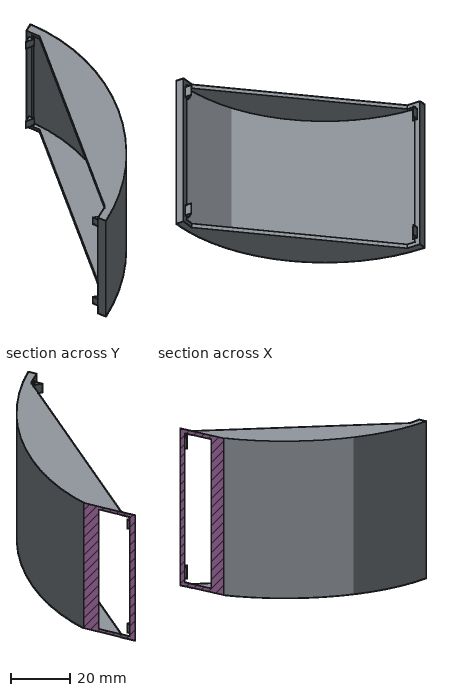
import cadquery as cq
import math

outer_radius = 60.35
height = 55.3
wall_thickness = 1.5
inner_radius = outer_radius - wall_thickness

strip_width = 2.05
strip_thickness = 3.0
strip_face = outer_radius - strip_thickness
plate_corner = 5.05

tooth_start = 1.0
tooth_width = 2.0
tooth_depth = 2.55
tooth_height = 3.85
tooth_end_gap = 2.85

diagonal = math.sqrt(0.5)


def outer_profile(inner_points):
    """Close the outer quarter arc with the given points, listed from +X to +Y."""
    middle = (outer_radius * diagonal, outer_radius * diagonal)
    profile = cq.Workplane("XY").moveTo(0, outer_radius)
    profile = profile.threePointArc(middle, (outer_radius, 0))
    for point in inner_points:
        profile = profile.lineTo(*point)
    return profile.close()


def make_body():
    """Solid segment bounded by the strip planes and the plates' chord edge."""
    return outer_profile([
        (strip_face, 0),
        (strip_face, plate_corner),
        (plate_corner, strip_face),
        (0, strip_face),
    ]).extrude(height)


def make_cavity():
    """Space between the end plates, inside the curved wall and the strips."""
    middle = (inner_radius * diagonal, inner_radius * diagonal)
    arc_end = math.sqrt(inner_radius**2 - strip_width**2)
    return (
        cq.Workplane("XY", origin=(0, 0, wall_thickness))
        .moveTo(strip_width, arc_end)
        .threePointArc(middle, (arc_end, strip_width))
        .lineTo(strip_width, strip_width)
        .close()
        .extrude(height - 2 * wall_thickness)
    )


def make_tooth(bottom):
    """Tooth on the strip facing -Y; its outer flank is square to the strip."""
    tooth_end = tooth_start + tooth_width
    return (
        cq.Workplane("XY", origin=(0, 0, bottom))
        .moveTo(tooth_start, strip_face - tooth_depth)
        .lineTo(tooth_end, strip_face)
        .lineTo(tooth_start, strip_face)
        .close()
        .extrude(tooth_height)
    )


def mirror_across_diagonal(tooth):
    """Reflect a tooth in the plane X = Y, onto the other strip."""
    return tooth.mirror("YZ").rotate((0, 0, 0), (0, 0, 1), -90)


result = make_body().cut(make_cavity())
for bottom in (tooth_end_gap, height - tooth_end_gap - tooth_height):
    tooth = make_tooth(bottom)
    result = result.union(tooth).union(mirror_across_diagonal(tooth))